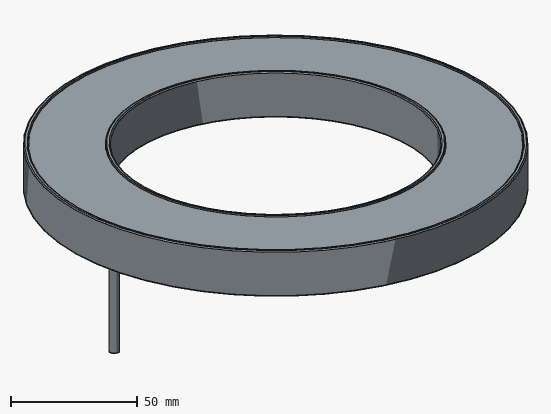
import cadquery as cq

outer_diameter = 200.0
bore_diameter = 131.0
ring_height = 20.0
wall_thickness = 1.5
edge_chamfer = 0.5

panel_recess = 0.5
groove_width = 0.5
groove_depth = 2.0

cable_diameter = 4.2
overall_height = 66.5
cable_length = overall_height - ring_height
cable_y = -(outer_diameter + bore_diameter) / 4

outer_wall_inside = outer_diameter - 2 * wall_thickness
bore_wall_outside = bore_diameter + 2 * wall_thickness
panel_outer = outer_wall_inside - 2 * groove_width
panel_inner = bore_wall_outside + 2 * groove_width


def annulus(outer, inner, height, base_z):
    """Flat ring around the Z axis, given its two diameters."""
    return (
        cq.Workplane("XY", origin=(0, 0, base_z))
        .circle(outer / 2)
        .circle(inner / 2)
        .extrude(height)
    )


def top_cut(outer, inner, depth):
    """Ring-shaped cutter reaching down from the top of the housing."""
    return annulus(outer, inner, depth, ring_height - depth)


housing = annulus(outer_diameter, bore_diameter, ring_height, 0)
housing = housing.edges("%CIRCLE").chamfer(edge_chamfer)

housing = housing.cut(top_cut(panel_outer, panel_inner, panel_recess))
housing = housing.cut(top_cut(outer_wall_inside, panel_outer, groove_depth))
housing = housing.cut(top_cut(panel_inner, bore_wall_outside, groove_depth))

cable = (
    cq.Workplane("XY")
    .center(0, cable_y)
    .circle(cable_diameter / 2)
    .extrude(-cable_length)
)

result = housing.union(cable)